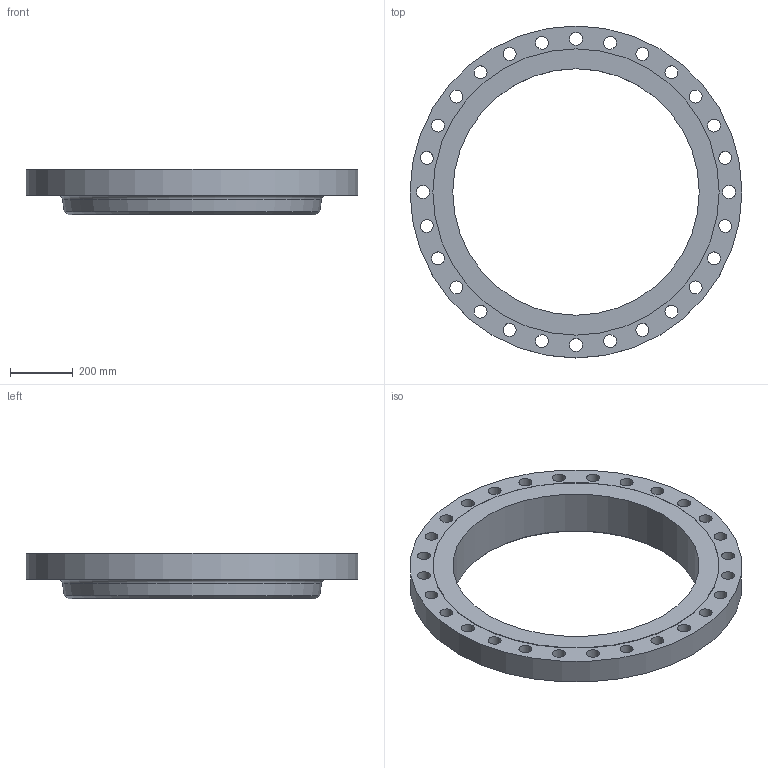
import cadquery as cq
import math

outer_diameter = 1060.45
overall_height = 144.46
bore_diameter = 787.4

face_diameter = 914.4
face_height = 1.5875

ring_thickness = 82.55

hub_base_diameter = 832.0
hub_root_fillet = 14.5
weld_end_diameter = 816.0
weld_bevel_angle = 37.5
weld_land = 1.6

bolt_count = 28
bolt_circle_diameter = 977.9
bolt_hole_diameter = 41.275

match_tolerance = 0.01

bore_radius = bore_diameter / 2
outer_radius = outer_diameter / 2
face_radius = face_diameter / 2
hub_base_radius = hub_base_diameter / 2
weld_end_radius = weld_end_diameter / 2
land_radius = bore_radius + weld_land

bevel_height = (weld_end_radius - land_radius) * math.tan(math.radians(weld_bevel_angle))
ring_bottom = overall_height - ring_thickness
ring_top = overall_height - face_height


def flange_body():
    """Revolve the ring, raised face, tapered hub and weld bevel around Z."""
    profile = (
        cq.Workplane("XZ")
        .moveTo(bore_radius, 0)
        .lineTo(land_radius, 0)
        .lineTo(weld_end_radius, bevel_height)
        .lineTo(hub_base_radius, ring_bottom)
        .lineTo(outer_radius, ring_bottom)
        .lineTo(outer_radius, ring_top)
        .lineTo(face_radius, ring_top)
        .lineTo(face_radius, overall_height)
        .lineTo(bore_radius, overall_height)
        .close()
    )
    return profile.revolve(360, (0, 0, 0), (0, 1, 0))


def blend_hub_root(body):
    """Round the inside corner where the hub meets the underside of the ring."""
    root_edge = body.edges("%CIRCLE").filter(
        lambda edge: abs(edge.radius() - hub_base_radius) < match_tolerance
        and abs(edge.Center().z - ring_bottom) < match_tolerance
    )
    return root_edge.fillet(hub_root_fillet)


def bolt_holes():
    """Full-height cylinders on the bolt circle, the first one on the +X axis."""
    return (
        cq.Workplane("XY")
        .polarArray(bolt_circle_diameter / 2, 0, 360, bolt_count)
        .circle(bolt_hole_diameter / 2)
        .extrude(overall_height)
    )


result = blend_hub_root(flange_body()).cut(bolt_holes())